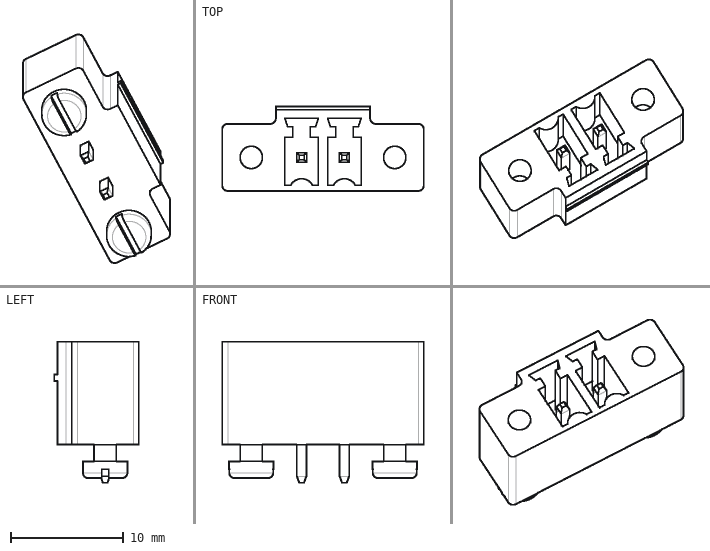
import cadquery as cq


housing_length = 18.01
housing_depth = 6.0
overall_depth = 7.55
housing_height = 9.2
corner_radius = 0.5
step_length = 8.43
step_back = 4.27
rail_height = 0.61
rail_back = overall_depth - housing_depth / 2
rail_top = 6.29

pitch = 3.82
pocket_depth = 7.38
pocket_width = 2.99
pocket_front = -2.5
neck_width = 1.55
neck_front = 1.78
neck_back = 2.72
dovetail_width = 2.49
pocket_back = 3.5
key_radius = 1.1

pin_width = 0.88
pin_thickness = 0.83
pin_tip_width = 0.43
pin_taper = 0.61
pin_bottom = -3.4
pin_top = 7.83

screw_spacing = 12.8
shank_diameter = 2.0
head_diameter = 4.0
head_top = -1.5
head_height = 1.5
head_rounding = 0.5
slot_width = 0.6
slot_depth = 0.8
bore_depth = 5.4

pin_positions = [(-pitch / 2, 0), (pitch / 2, 0)]
screw_positions = [(-screw_spacing / 2, 0), (screw_spacing / 2, 0)]


def make_housing():
    """Block with rounded vertical corners, a raised back step and a rail across that step."""
    base = cq.Workplane("XY").box(housing_length, housing_depth, housing_height, (True, True, False))
    base = base.edges("|Z").fillet(corner_radius)

    half_step = step_length / 2
    root = housing_depth / 2
    step = (
        cq.Workplane("XY")
        .moveTo(-half_step - corner_radius, 0)
        .lineTo(-half_step - corner_radius, root)
        .radiusArc((-half_step, root + corner_radius), -corner_radius)
        .lineTo(-half_step, step_back)
        .lineTo(half_step, step_back)
        .lineTo(half_step, root + corner_radius)
        .radiusArc((half_step + corner_radius, root), -corner_radius)
        .lineTo(half_step + corner_radius, 0)
        .close()
        .extrude(housing_height)
    )
    rail = (
        cq.Workplane("XY", origin=(0, 0, rail_top - rail_height))
        .box(step_length, rail_back, rail_height, (True, False, False))
    )
    return base.union(step).union(rail)


def make_pocket():
    """Blind keyed pocket: wide chamber, narrow neck and dovetail, with a half-round key in front."""
    half_width = pocket_width / 2
    half_neck = neck_width / 2
    half_dovetail = dovetail_width / 2
    right_side = [
        (half_width, pocket_front),
        (half_width, neck_front),
        (half_neck, neck_front),
        (half_neck, neck_back),
        (half_dovetail, neck_back),
        (half_width, pocket_back),
    ]
    left_side = [(-x, y) for x, y in reversed(right_side)]
    floor = cq.Workplane("XY", origin=(0, 0, housing_height - pocket_depth))
    key = floor.center(0, -housing_depth / 2).circle(key_radius).extrude(pocket_depth)
    return floor.polyline(right_side + left_side).close().extrude(pocket_depth).cut(key)


def make_pin():
    """Rectangular pin tapered at both ends."""
    shaft_bottom = pin_bottom + pin_taper
    shaft_top = pin_top - pin_taper
    shaft = (
        cq.Workplane("XY", origin=(0, 0, shaft_bottom))
        .rect(pin_width, pin_thickness)
        .extrude(shaft_top - shaft_bottom)
    )
    for tip_z, shaft_z in ((pin_bottom, shaft_bottom), (pin_top, shaft_top)):
        tip = (
            cq.Workplane("XY", origin=(0, 0, shaft_z))
            .rect(pin_width, pin_thickness)
            .workplane(offset=tip_z - shaft_z)
            .rect(pin_tip_width, pin_tip_width)
            .loft(ruled=True)
        )
        shaft = shaft.union(tip)
    return shaft


def make_screw():
    """Slotted cheese-head screw, head downwards, ending at the mounting face."""
    head_bottom = head_top - head_height
    head = cq.Workplane("XY", origin=(0, 0, head_bottom)).circle(head_diameter / 2).extrude(head_height)
    head = head.faces("<Z").edges().fillet(head_rounding)
    slot = (
        cq.Workplane("XY", origin=(0, 0, head_bottom))
        .rect(head_diameter, slot_width)
        .extrude(slot_depth)
    )
    shank = cq.Workplane("XY", origin=(0, 0, head_top)).circle(shank_diameter / 2).extrude(-head_top)
    return head.cut(slot).union(shank)


def make_bores():
    """Blind bores in the top face, in line with the screws."""
    return (
        cq.Workplane("XY", origin=(0, 0, housing_height - bore_depth))
        .pushPoints(screw_positions)
        .circle(shank_diameter / 2)
        .extrude(bore_depth)
    )


result = make_housing().cut(make_bores())
for x, y in pin_positions:
    result = result.cut(make_pocket().translate((x, y, 0)))
    result = result.union(make_pin().translate((x, y, 0)))
for x, y in screw_positions:
    result = result.union(make_screw().translate((x, y, 0)))